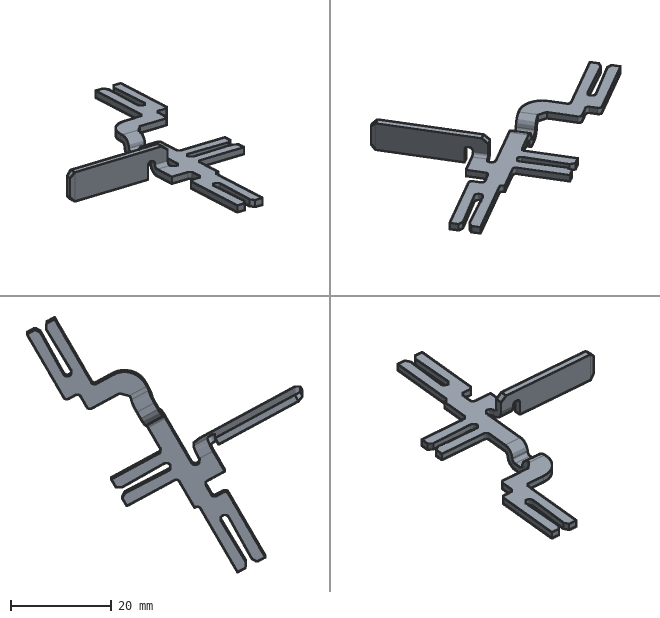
import cadquery as cq
import math

length = 63.5
sheet = 1.5
bend_inner = 0.75
bend_outer = bend_inner + sheet
bend_middle = bend_inner + sheet / 2

beam_width = 4.0
neck_left = 15.75
neck_right = neck_left + beam_width
neck_top = 12.6
elbow_radius = 4.75
elbow_chamfer = 1.45

fork_width = 6.35
back_edge = 15.6
left_fork_front = back_edge - fork_width
rear_fork_left = 34.4
rear_fork_right = rear_fork_left + fork_width
right_fork_root = 47.7
right_fork_back = 3.05
right_fork_front = right_fork_back - fork_width
slot_depth = 11.7
slot_width = 1.7
throat_width = 1.35
mouth_width = 2.6
mouth_depth = 1.0

trough_center = 24.9
trough_floor_half = 0.75
trough_drop = 2.85

tab_back = -1.8
relief_radius = -tab_back / 2
tab_front = -4.95
tab_right = 44.1
notch_back = -0.25
blade_right = 38.5
blade_left = blade_right - sheet
bend_end = blade_right + bend_inner
blade_height = 6.35
blade_top = 4.25
blade_bottom = blade_top - blade_height
blade_tip = -26.05
blade_heel_length = 1.35
tip_chamfer = 1.1
tip_side_taper = 0.25
blade_notch_width = 1.7
blade_notch_top = 1.7

corner_radius = 0.7

cut_height = 19.05


def plan_prism(points):
    return cq.Workplane("XY").polyline(points).close().extrude(cut_height / 2, both=True)


def round_corner(body, x, y, radius):
    """Round the vertical edge that stands at (x, y)."""
    reach = 0.03
    box = cq.selectors.BoxSelector(
        (x - reach, y - reach, -cut_height), (x + reach, y + reach, cut_height)
    )
    return body.edges("|Z").edges(box).fillet(radius)


def fork_slot(tip_x, tip_y, angle):
    """Slot with a flared mouth; at angle 0 it runs from the tip toward +X."""
    end_radius = slot_width / 2
    straight_end = slot_depth - end_radius
    slot = (
        cq.Workplane("XY")
        .moveTo(0, mouth_width / 2)
        .lineTo(mouth_depth, throat_width / 2)
        .lineTo(straight_end, end_radius)
        .threePointArc((slot_depth, 0), (straight_end, -end_radius))
        .lineTo(mouth_depth, -throat_width / 2)
        .lineTo(0, -mouth_width / 2)
        .close()
        .extrude(cut_height / 2, both=True)
    )
    return slot.rotate((0, 0, 0), (0, 0, 1), angle).translate((tip_x, tip_y, 0))


def plan_outline():
    body = plan_prism([
        (0, back_edge),
        (neck_left, back_edge),
        (neck_left, neck_top),
        (neck_right, neck_top),
        (neck_right, beam_width + elbow_chamfer),
        (neck_right + elbow_chamfer, beam_width),
        (rear_fork_left, beam_width),
        (rear_fork_left, back_edge),
        (rear_fork_right, back_edge),
        (rear_fork_right, beam_width),
        (right_fork_root, beam_width),
        (right_fork_root, right_fork_back),
        (length, right_fork_back),
        (length, right_fork_front),
        (right_fork_root, right_fork_front),
        (right_fork_root, notch_back),
        (tab_right, notch_back),
        (tab_right, tab_front),
        (bend_end, tab_front),
        (bend_end, 0),
        (neck_left, 0),
        (neck_left, left_fork_front),
        (0, left_fork_front),
    ])
    step_corners = [
        (neck_left, back_edge),
        (neck_left, neck_top),
        (neck_right, neck_top),
        (neck_left, left_fork_front),
        (rear_fork_left, beam_width),
        (rear_fork_right, beam_width),
        (right_fork_root, right_fork_back),
        (right_fork_root, right_fork_front),
        (right_fork_root, notch_back),
        (tab_right, notch_back),
    ]
    for x, y in step_corners:
        body = round_corner(body, x, y, corner_radius)
    body = round_corner(body, neck_left, 0, elbow_radius)
    relief = (
        cq.Workplane("XY")
        .center(bend_end, -relief_radius)
        .circle(relief_radius)
        .extrude(cut_height / 2, both=True)
    )
    body = body.cut(relief)
    slots = [
        (0, back_edge - fork_width / 2, 0),
        (rear_fork_left + fork_width / 2, back_edge, -90),
        (length, right_fork_back - fork_width / 2, 180),
    ]
    for x, y, angle in slots:
        body = body.cut(fork_slot(x, y, angle))
    return body


def sheet_profile():
    """Side profile of the sheet with its trough, extruded across the whole part."""
    bend_angle = math.acos(1 - trough_drop / (2 * bend_middle))
    wall_run = 2 * bend_middle * math.sin(bend_angle)
    rim_half = trough_floor_half + wall_run
    floor_z = -trough_drop

    def rim_point(side, radius, angle):
        x = rim_half - radius * math.sin(angle)
        return trough_center + side * x, -bend_outer + radius * math.cos(angle)

    def floor_point(side, radius, angle):
        x = trough_floor_half + radius * math.sin(angle)
        return trough_center + side * x, floor_z + bend_inner - radius * math.cos(angle)

    def trough_path(path, side, rim_radius, floor_radius):
        """Trace one face of the trough, entering at the rim on the given side."""
        half = bend_angle / 2
        return (
            path.lineTo(*rim_point(side, rim_radius, 0))
            .threePointArc(rim_point(side, rim_radius, half), rim_point(side, rim_radius, bend_angle))
            .threePointArc(floor_point(side, floor_radius, half), floor_point(side, floor_radius, 0))
            .lineTo(*floor_point(-side, floor_radius, 0))
            .threePointArc(
                floor_point(-side, floor_radius, half), floor_point(-side, floor_radius, bend_angle)
            )
            .threePointArc(rim_point(-side, rim_radius, half), rim_point(-side, rim_radius, 0))
        )

    path = cq.Workplane("XZ").moveTo(0, 0)
    path = trough_path(path, -1, bend_outer, bend_inner)
    path = path.lineTo(length, 0).lineTo(length, -sheet)
    path = trough_path(path, 1, bend_inner, bend_outer)
    return path.lineTo(0, -sheet).close().extrude(back_edge - blade_tip, both=True)


def tab_bend():
    """Quarter bend that turns the tab up into the blade."""
    diagonal = math.sqrt(0.5)
    return (
        cq.Workplane("XZ", origin=(bend_end, tab_back, bend_inner))
        .moveTo(0, -bend_inner)
        .threePointArc((-bend_inner * diagonal, -bend_inner * diagonal), (-bend_inner, 0))
        .lineTo(-bend_outer, 0)
        .threePointArc((-bend_outer * diagonal, -bend_outer * diagonal), (0, -bend_outer))
        .close()
        .extrude(tab_back - tab_front)
    )


def blade():
    notch_radius = blade_notch_width / 2
    notch_front = tab_front - blade_notch_width
    notch_spring = blade_notch_top - notch_radius
    plate = (
        cq.Workplane("YZ", origin=(blade_left, 0, 0))
        .moveTo(tab_back, bend_inner)
        .lineTo(tab_back, blade_top - tip_chamfer)
        .lineTo(tab_back - blade_heel_length, blade_top)
        .lineTo(blade_tip + tip_chamfer, blade_top)
        .lineTo(blade_tip, blade_top - tip_chamfer)
        .lineTo(blade_tip, blade_bottom + tip_chamfer)
        .lineTo(blade_tip + tip_chamfer, blade_bottom)
        .lineTo(notch_front, blade_bottom)
        .lineTo(notch_front, notch_spring)
        .threePointArc((notch_front + notch_radius, blade_notch_top), (tab_front, notch_spring))
        .lineTo(tab_front, bend_inner)
        .close()
        .extrude(sheet)
    )
    tapered_plan = plan_prism([
        (blade_left, tab_back),
        (blade_right, tab_back),
        (blade_right, blade_tip + tip_chamfer),
        (blade_right - tip_side_taper, blade_tip),
        (blade_left + tip_side_taper, blade_tip),
        (blade_left, blade_tip + tip_chamfer),
    ])
    return plate.intersect(tapered_plan)


result = plan_outline().intersect(sheet_profile()).union(tab_bend()).union(blade())